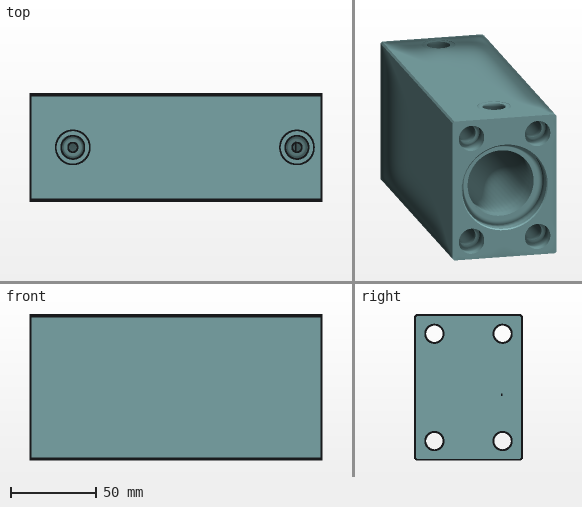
import cadquery as cq

length = 171.0
width = 63.0
height = 85.0
edge_chamfer = 1.0

bore_diameter = 40.0
bore_end = 155.8
recess_diameter = 51.0
recess_depth = 9.4
recess_chamfer = 0.7

bolt_spacing_y = 40.0
bolt_spacing_z = 63.0
bolt_diameter = 10.6
bolt_head_diameter = 15.4
bolt_head_depth = 11.5

port_positions = (25.0, 156.5)
seat_diameter = 20.0
seat_depth = 0.2
port_diameter = 13.7
port_depth = 12.0
passage_diameter = 5.6
passage_overlap = 0.3

top_z = height / 2
passage_depth = top_z - bore_diameter / 2 + passage_overlap


def x_cylinder(diameter, start, end):
    """Cylinder along the X axis between two X positions."""
    return cq.Workplane("YZ", origin=(start, 0, 0)).circle(diameter / 2).extrude(end - start)


def make_block():
    block = cq.Workplane("XY").box(length, width, height, centered=(False, True, True))
    return block.edges("|X").chamfer(edge_chamfer)


def make_bore():
    """Main bore with a wider mouth recess and a chamfered rim."""
    bore = x_cylinder(bore_diameter, 0, bore_end)
    recess = x_cylinder(recess_diameter, 0, recess_depth)
    rim = (
        cq.Workplane("YZ")
        .circle(recess_diameter / 2 + recess_chamfer)
        .workplane(offset=recess_chamfer)
        .circle(recess_diameter / 2)
        .loft()
    )
    return bore.union(recess).union(rim)


def make_bolt_holes():
    hole = x_cylinder(bolt_diameter, 0, length)
    hole = hole.union(x_cylinder(bolt_head_diameter, 0, bolt_head_depth))
    holes = cq.Workplane("YZ")
    for side_y in (-1, 1):
        for side_z in (-1, 1):
            centre = (0, side_y * bolt_spacing_y / 2, side_z * bolt_spacing_z / 2)
            holes = holes.union(hole.translate(centre))
    return holes


def make_port(x):
    """Shallow seat, port and narrow passage breaking into the bore."""
    steps = (
        (seat_diameter, seat_depth),
        (port_diameter, port_depth),
        (passage_diameter, passage_depth),
    )
    top = cq.Workplane("XY", origin=(x, 0, top_z))
    port = cq.Workplane("XY")
    for diameter, depth in steps:
        port = port.union(top.circle(diameter / 2).extrude(-depth))
    return port


result = make_block().cut(make_bore()).cut(make_bolt_holes())
for port_x in port_positions:
    result = result.cut(make_port(port_x))